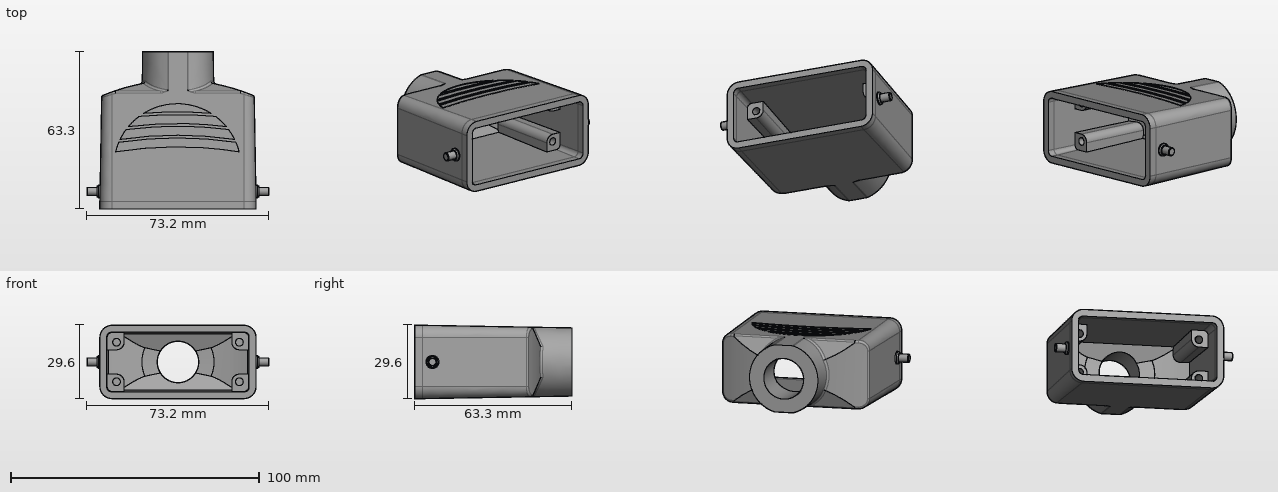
import cadquery as cq
import math

HOOD_WIDTH = 62.9
HOOD_HEIGHT = 29.6
HOOD_DEPTH = 63.32
CORNER_RADIUS = 5.0
RIM_DEPTH = 3.2
DRAFT = 1.0
EDGE_FILLET = 1.0

SHOULDER_RADIUS = 78.0
SHOULDER_APEX = 51.86
BEVEL_START_Z = 14.0
BEVEL_START_Y = 47.3
BEVEL_SLOPE = 2.3
SHOULDER_WALL = 3.0

NECK_END_RADIUS = 14.3
NECK_OVERLAP = 3.0
BORE_RADIUS = 8.3

SEAT_RADIUS = 14.5
SEAT_RIM_Y = 47.62
SEAT_ANGLE = 5.3

RIM_WALL = 2.8
CAVITY_CORNER_RADIUS = 2.0

BOSS_X = 24.7
BOSS_Z = 7.95
BOSS_RADIUS = 3.05
BOSS_FACE_Y = 14.5
BOSS_HOLE_RADIUS = 1.55
BOSS_HOLE_DEPTH = 12.0

PIN_SPAN = 73.25
PIN_Y = 7.13
PIN_RADIUS = 1.7
PIN_TIP_CHAMFER = 0.3
COLLAR_RADIUS = 2.6
COLLAR_FACE_RADIUS = 2.15
COLLAR_STRAIGHT = 0.45
COLLAR_LENGTH = 1.05

GRIP_RADIUS = 25.6
GRIP_CENTER_X = -0.25
GRIP_APEX_Y = 42.46
GRIP_BASE_Y = 25.06
GRIP_BAND_RADIUS = 160.0
GRIP_PITCH = 4.7
GRIP_RIB = 1.1
GRIP_COUNT = 4
GRIP_RECESS_DEPTH = 0.3

TAN_DRAFT = math.tan(math.radians(DRAFT))


def cross_plane(y):
    """Plane across the hood at the given y, facing +Y."""
    return cq.Plane(origin=(0, y, 0), xDir=(1, 0, 0), normal=(0, 1, 0))


def arc_y(radius, apex, x):
    """The y of an arc at the given x; the arc peaks at (0, apex)."""
    return apex - radius + math.sqrt(radius**2 - x**2)


def drafted_block(width, height, radius):
    """Rounded block: straight over the rim, then drafted inward to full depth."""
    outline = cq.Sketch().rect(width, height).vertices().fillet(radius)
    rim = cq.Workplane(cross_plane(0)).placeSketch(outline).extrude(RIM_DEPTH)
    drafted = (
        cq.Workplane(cross_plane(RIM_DEPTH))
        .placeSketch(outline)
        .extrude(HOOD_DEPTH - RIM_DEPTH, taper=DRAFT)
    )
    return rim.union(drafted)


def arc_prism(radius, apex):
    """Space under the shoulder arc, which bends about Z."""
    half_width = HOOD_WIDTH / 2
    side_y = arc_y(radius, apex, half_width)
    return (
        cq.Workplane("XY")
        .moveTo(-half_width, 0)
        .lineTo(half_width, 0)
        .lineTo(half_width, side_y)
        .threePointArc((0, apex), (-half_width, side_y))
        .close()
        .extrude(HOOD_HEIGHT / 2, both=True)
    )


def bevel_prism(wall):
    """Space between the two shoulder bevels, moved inward by wall."""
    half_height = HOOD_HEIGHT / 2
    bevel_shift = wall * math.hypot(1, BEVEL_SLOPE) / BEVEL_SLOPE
    edge_y = BEVEL_START_Y - bevel_shift - (half_height - BEVEL_START_Z) / BEVEL_SLOPE
    ridge_z = half_height - BEVEL_SLOPE * (SHOULDER_APEX - edge_y)
    return (
        cq.Workplane("YZ")
        .polyline([
            (0, -half_height),
            (edge_y, -half_height),
            (SHOULDER_APEX, -ridge_z),
            (SHOULDER_APEX, ridge_z),
            (edge_y, half_height),
            (0, half_height),
        ])
        .close()
        .extrude(HOOD_WIDTH / 2, both=True)
    )


def neck_cone():
    """Drafted round neck, reaching down into the shoulder."""
    start = BEVEL_START_Y - NECK_OVERLAP
    length = HOOD_DEPTH - start
    return (
        cq.Workplane(cross_plane(start))
        .circle(NECK_END_RADIUS + length * TAN_DRAFT)
        .extrude(length, taper=DRAFT)
    )


def is_rounded_edge(edge):
    """True for the shoulder outline, the root of the neck and the edges of its flats."""
    box = edge.BoundingBox()
    shoulder_low_y = arc_y(SHOULDER_RADIUS, SHOULDER_APEX, HOOD_WIDTH / 2)
    above_side_walls = box.ymin > shoulder_low_y
    reaches_tip = box.ymax > HOOD_DEPTH - EDGE_FILLET
    on_outline = box.ymax < BEVEL_START_Y + EDGE_FILLET / 2
    on_neck = max(abs(box.xmin), abs(box.xmax)) < NECK_END_RADIUS + EDGE_FILLET
    at_tip = box.ymin > HOOD_DEPTH - EDGE_FILLET
    on_flat_edge = reaches_tip and not at_tip
    on_neck_root = on_neck and not reaches_tip
    return above_side_walls and (on_outline or on_neck_root or on_flat_edge)


def outer_body():
    block = drafted_block(HOOD_WIDTH, HOOD_HEIGHT, CORNER_RADIUS)
    shoulder = arc_prism(SHOULDER_RADIUS, SHOULDER_APEX).intersect(bevel_prism(0))
    hood = block.intersect(shoulder)
    sharp = hood.union(neck_cone().intersect(block)).val()
    rounded_edges = [edge for edge in sharp.Edges() if is_rounded_edge(edge)]
    return cq.Workplane(sharp.fillet(EDGE_FILLET, rounded_edges))


def seat_cone():
    """Round space up to the shallow cone around the bore."""
    peak_y = SEAT_RIM_Y + SEAT_RADIUS * math.tan(math.radians(SEAT_ANGLE))
    return (
        cq.Workplane("XY")
        .polyline([(0, 0), (SEAT_RADIUS, 0), (SEAT_RADIUS, SEAT_RIM_Y), (0, peak_y)])
        .close()
        .revolve(360, (0, 0, 0), (0, 1, 0))
    )


def cavity():
    block = drafted_block(
        HOOD_WIDTH - 2 * RIM_WALL, HOOD_HEIGHT - 2 * RIM_WALL, CAVITY_CORNER_RADIUS
    )
    seat_column = cq.Workplane(cross_plane(0)).circle(SEAT_RADIUS).extrude(HOOD_DEPTH)
    ceiling = (
        arc_prism(SHOULDER_RADIUS - SHOULDER_WALL, SHOULDER_APEX - SHOULDER_WALL)
        .cut(seat_column)
        .union(seat_cone())
        .intersect(bevel_prism(SHOULDER_WALL))
    )
    return block.intersect(ceiling)


def boss_columns():
    """Corner columns rounded towards the middle; the cavity trims their outer sides."""
    reach_x = HOOD_WIDTH / 2 - BOSS_X + BOSS_RADIUS
    reach_z = HOOD_HEIGHT / 2 - BOSS_Z + BOSS_RADIUS
    columns = cq.Workplane("XY")
    for side_x in (-1, 1):
        for side_z in (-1, 1):
            column = (
                cq.Workplane("XY")
                .box(reach_x, HOOD_DEPTH - BOSS_FACE_Y, reach_z, centered=False)
                .edges("|Y and <X and <Z")
                .fillet(BOSS_RADIUS)
                .translate((BOSS_X - BOSS_RADIUS, BOSS_FACE_Y, BOSS_Z - BOSS_RADIUS))
            )
            if side_x < 0:
                column = column.mirror("YZ")
            if side_z < 0:
                column = column.mirror("XY")
            columns = columns.add(column)
    return columns.combine()


def boss_holes():
    return (
        cq.Workplane(cross_plane(BOSS_FACE_Y))
        .rect(2 * BOSS_X, 2 * BOSS_Z, forConstruction=True)
        .vertices()
        .circle(BOSS_HOLE_RADIUS)
        .extrude(BOSS_HOLE_DEPTH)
    )


def locking_pin():
    """Pin with a conical collar on the +X end."""
    wall_x = HOOD_WIDTH / 2
    root_x = wall_x - RIM_WALL / 2
    tip_x = PIN_SPAN / 2
    return (
        cq.Workplane("XZ")
        .polyline([
            (root_x, 0),
            (root_x, COLLAR_RADIUS),
            (wall_x + COLLAR_STRAIGHT, COLLAR_RADIUS),
            (wall_x + COLLAR_LENGTH, COLLAR_FACE_RADIUS),
            (wall_x + COLLAR_LENGTH, PIN_RADIUS),
            (tip_x - PIN_TIP_CHAMFER, PIN_RADIUS),
            (tip_x, PIN_RADIUS - PIN_TIP_CHAMFER),
            (tip_x, 0),
        ])
        .close()
        .revolve(360, (0, 0, 0), (1, 0, 0))
        .translate((0, PIN_Y, 0))
    )


def grip_recesses():
    """Curved bands inside a round dome, sunk below the drafted top face."""
    top_z = HOOD_HEIGHT / 2
    dome = (
        cq.Workplane("XY")
        .center(GRIP_CENTER_X, GRIP_APEX_Y - GRIP_RADIUS)
        .circle(GRIP_RADIUS)
        .extrude(top_z)
    )
    bands = cq.Workplane("XY")
    for index in range(GRIP_COUNT):
        lower_y = GRIP_BASE_Y + index * GRIP_PITCH
        upper_y = lower_y + GRIP_PITCH - GRIP_RIB
        band = (
            cq.Workplane("XY")
            .center(GRIP_CENTER_X, upper_y - GRIP_BAND_RADIUS)
            .circle(GRIP_BAND_RADIUS)
            .circle(GRIP_BAND_RADIUS - (upper_y - lower_y))
            .extrude(top_z)
        )
        bands = bands.add(band.intersect(dome))
    floor = drafted_block(
        HOOD_WIDTH, HOOD_HEIGHT - 2 * GRIP_RECESS_DEPTH, CORNER_RADIUS
    )
    return bands.combine().cut(floor)


result = outer_body().cut(cavity().cut(boss_columns())).cut(boss_holes())
bore = cq.Workplane(cross_plane(0)).circle(BORE_RADIUS).extrude(HOOD_DEPTH)
pin = locking_pin()
result = result.cut(bore).cut(grip_recesses()).union(pin).union(pin.mirror("YZ"))